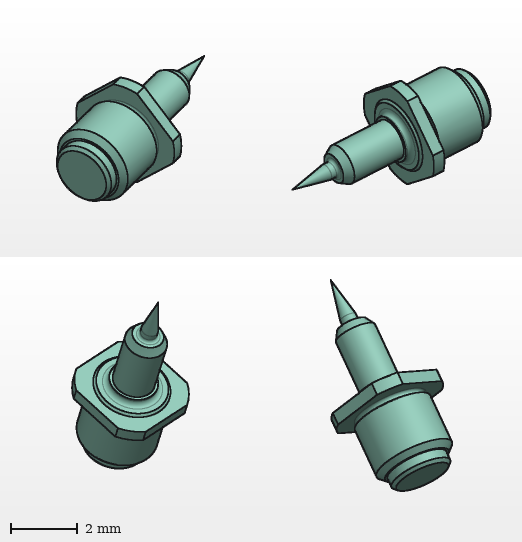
import cadquery as cq
import math

cap_radius = 0.975
cap_chamfer = 0.11
cap_length = 0.4

body_radius = 1.25
body_chamfer = 0.2
body_end = 2.2

neck_round = 0.1
neck_radius = 1.08
neck_end = body_end + 2 * neck_round

flange_thickness = 0.4
flange_radius = 1.75
flange_across_flats = 3.0
flange_end = neck_end + flange_thickness

ring_radius = 1.185
ring_height = 0.08
ring_end = flange_end + ring_height

collar_radius = 0.75
collar_fillet = 0.17
collar_end = 3.1

shaft_radius = 0.65
shaft_taper_start = 4.95
shaft_end = 5.24
shaft_end_radius = 0.485

needle_radius = 0.26
needle_fillet = 0.1
cone_start = 5.52
total_length = 6.8


def add_arc(outline, center, radius, start_angle, end_angle):
    """Continue a (radius, station) outline along an arc; angles in degrees."""
    def point(angle):
        a = math.radians(angle)
        return (center[0] + radius * math.cos(a), center[1] + radius * math.sin(a))

    middle = point((start_angle + end_angle) / 2)
    return outline.threePointArc(middle, point(end_angle))


def revolve_outline(outline):
    """Close a (radius, station) outline and turn it about the Y axis."""
    return outline.close().revolve(360, (0, 0, 0), (0, 1, 0))


def make_barrel():
    """Rear cap, chamfered body and the rounded neck behind the flange."""
    outline = (
        cq.Workplane("XY")
        .lineTo(cap_radius - cap_chamfer, 0)
        .lineTo(cap_radius, cap_chamfer)
        .lineTo(cap_radius, cap_length)
        .lineTo(body_radius - body_chamfer, cap_length)
        .lineTo(body_radius, cap_length + body_chamfer)
        .lineTo(body_radius, body_end)
        .lineTo(neck_radius + neck_round, body_end)
    )
    neck_center = (neck_radius + neck_round, body_end + neck_round)
    outline = add_arc(outline, neck_center, neck_round, 270, 90)
    return revolve_outline(outline.lineTo(0, neck_end))


def make_flange():
    """Disc trimmed by a square that stands on its corner."""
    base = cq.Workplane("XZ", origin=(0, flange_end, 0))
    disc = base.circle(flange_radius).extrude(flange_thickness)
    square = base.rect(flange_across_flats, flange_across_flats).extrude(flange_thickness)
    return disc.intersect(square.rotate((0, 0, 0), (0, 1, 0), 45))


def make_plunger():
    """Bevelled ring, filleted collar, tapered shaft and needle tip."""
    outline = (
        cq.Workplane("XY")
        .moveTo(0, flange_end)
        .lineTo(ring_radius, flange_end)
        .lineTo(ring_radius - ring_height, ring_end)
        .lineTo(collar_radius + collar_fillet, ring_end)
    )
    collar_center = (collar_radius + collar_fillet, ring_end + collar_fillet)
    outline = add_arc(outline, collar_center, collar_fillet, 270, 180)
    outline = (
        outline.lineTo(collar_radius, collar_end)
        .lineTo(shaft_radius, collar_end)
        .lineTo(shaft_radius, shaft_taper_start)
        .lineTo(shaft_end_radius, shaft_end)
        .lineTo(needle_radius + needle_fillet, shaft_end)
    )
    needle_center = (needle_radius + needle_fillet, shaft_end + needle_fillet)
    outline = add_arc(outline, needle_center, needle_fillet, 270, 180)
    outline = outline.lineTo(needle_radius, cone_start).lineTo(0, total_length)
    return revolve_outline(outline)


result = make_barrel().union(make_flange()).union(make_plunger())